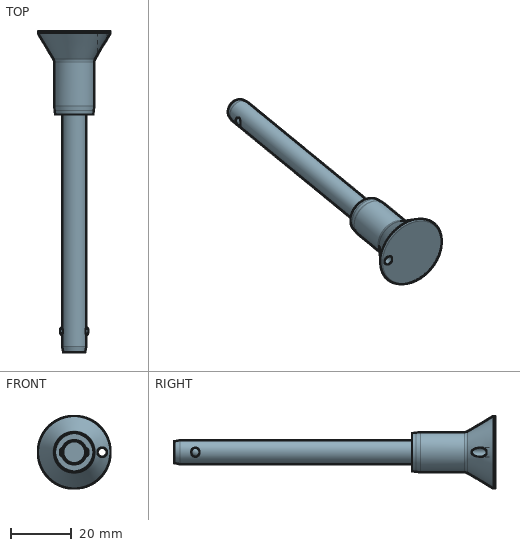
import cadquery as cq
import math

overall_length = 105.7

head_diameter = 24.0
rim_radius = 0.5
rim_land = 0.2
flare_half_angle = math.radians(31)
grip_diameter = 13.3
neck_fillet_radius = 2.0
handle_length = 27.5
collar_diameter = 12.95
collar_length = 1.6
nose_diameter = 12.6
nose_length = 1.3

lanyard_hole_diameter = 3.0
lanyard_hole_offset = 9.2

shank_diameter = 8.0
tip_diameter = 7.25
tip_length = 1.9

ball_diameter = 3.2
ball_span = 9.5
ball_to_tip = 7.0

head_back_y = handle_length
tip_y = handle_length - overall_length


def revolved_body():
    """Revolve the half outline of the handle and shank about the Y axis."""
    head_radius = head_diameter / 2
    grip_radius = grip_diameter / 2
    shank_radius = shank_diameter / 2

    rim_centre_r = head_radius - rim_radius
    rim_centre_y = head_back_y - rim_radius

    def rim_point(angle):
        return (
            rim_centre_r + rim_radius * math.cos(angle),
            rim_centre_y + rim_radius * math.sin(angle),
        )

    cone_end_y = rim_centre_y - rim_land
    neck_centre_r = grip_radius + neck_fillet_radius
    cone_start_r = neck_centre_r - neck_fillet_radius * math.cos(flare_half_angle)
    cone_start_y = cone_end_y - (head_radius - cone_start_r) / math.tan(flare_half_angle)
    neck_start_y = cone_start_y - neck_fillet_radius * math.sin(flare_half_angle)

    def neck_point(angle):
        return (
            neck_centre_r - neck_fillet_radius * math.cos(angle),
            neck_start_y + neck_fillet_radius * math.sin(angle),
        )

    return (
        cq.Workplane("XY")
        .moveTo(0, tip_y)
        .lineTo(tip_diameter / 2, tip_y)
        .lineTo(shank_radius, tip_y + tip_length)
        .lineTo(shank_radius, 0)
        .lineTo(nose_diameter / 2, 0)
        .lineTo(collar_diameter / 2, nose_length)
        .lineTo(grip_radius, nose_length + collar_length)
        .lineTo(grip_radius, neck_start_y)
        .threePointArc(neck_point(flare_half_angle / 2), neck_point(flare_half_angle))
        .lineTo(head_radius, cone_end_y)
        .lineTo(head_radius, rim_centre_y)
        .threePointArc(rim_point(math.pi / 4), rim_point(math.pi / 2))
        .lineTo(0, head_back_y)
        .close()
        .revolve(360, (0, 0), (0, 1))
    )


def lanyard_hole():
    """Cylinder parallel to the axis that cuts through the flared head."""
    return (
        cq.Workplane("XZ", origin=(lanyard_hole_offset, head_back_y, 0))
        .circle(lanyard_hole_diameter / 2)
        .extrude(handle_length)
    )


def locking_ball(side):
    """Ball standing out of the shank; side is +1 for +X and -1 for -X."""
    centre_x = side * (ball_span - ball_diameter) / 2
    return cq.Workplane("XY").sphere(ball_diameter / 2).translate((centre_x, tip_y + ball_to_tip, 0))


result = revolved_body().cut(lanyard_hole())
for ball_side in (-1, 1):
    result = result.union(locking_ball(ball_side))